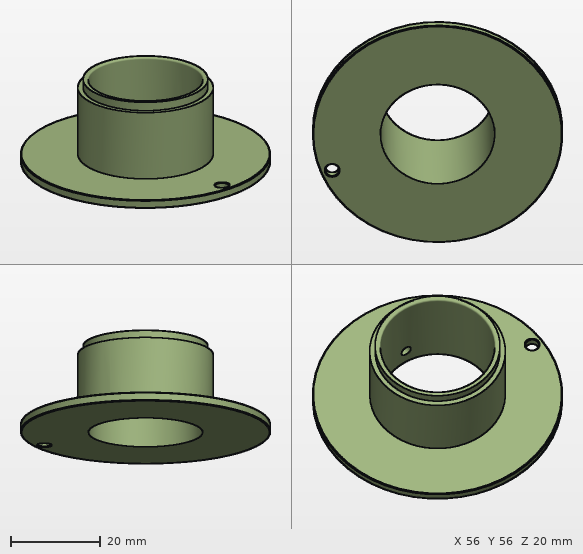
import cadquery as cq

flange_diameter = 56.0
flange_thickness = 2.0
flange_edge_chamfer = 0.2

hub_diameter = 30.4
spigot_diameter = 28.0
spigot_height = 2.0
total_height = 20.0
hub_top = total_height - spigot_height

bore_diameter = 25.6
bore_mouth_fillet = 0.4

pin_hole_diameter = 3.0
pin_hole_offset = 25.4

radial_hole_diameter = 2.5
radial_hole_z = 4.0


def cylinder(diameter, height):
    """Upright cylinder on the Z axis, standing on Z = 0."""
    return cq.Workplane("XY").circle(diameter / 2).extrude(height)


def make_flange():
    """Disc with a pin hole, chamfered at the rim and at both ends of the hole."""
    pin_hole = cylinder(pin_hole_diameter, flange_thickness).translate((pin_hole_offset, 0, 0))
    disc = cylinder(flange_diameter, flange_thickness).cut(pin_hole)
    return disc.edges("%CIRCLE").chamfer(flange_edge_chamfer)


def add_hub(body):
    """Hub standing on the flange, with a narrower spigot at its top."""
    return body.union(cylinder(hub_diameter, hub_top)).union(cylinder(spigot_diameter, total_height))


def cut_bore(body):
    """Bore through the whole part, with its upper mouth rounded over."""
    bored = body.cut(cylinder(bore_diameter, total_height))
    mouth = bored.faces(">Z").edges(cq.selectors.RadiusNthSelector(0))
    return mouth.fillet(bore_mouth_fillet)


def cut_radial_hole(body):
    """Hole through the hub wall, running from the bore out towards +Y."""
    drill = (
        cq.Workplane("XZ")
        .center(0, radial_hole_z)
        .circle(radial_hole_diameter / 2)
        .extrude(-hub_diameter / 2)
    )
    return body.cut(drill)


result = cut_radial_hole(cut_bore(add_hub(make_flange())))